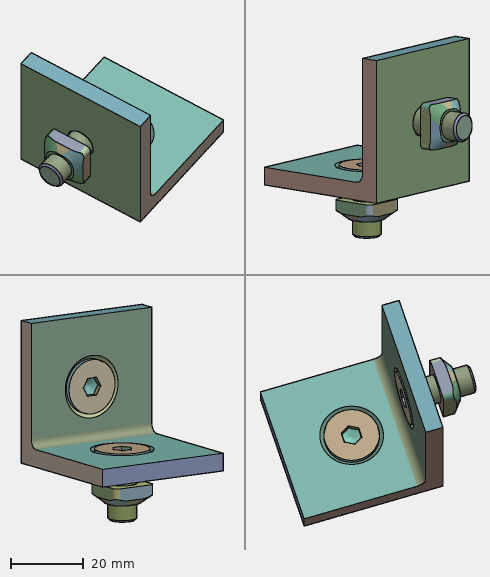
import cadquery as cq
import math

side = 40.0
thickness = 5.0
inner_radius = 2.4

hole_diameter = 8.4
countersink_diameter = 17.5

shank_diameter = 8.0
head_diameter = 15.25
head_rise = 0.2
tip_diameter = 6.8
reach = 54.8 - side
socket_flats = 5.0
socket_depth = 2.75
socket_cone_angle = 30.0

nut_width = 12.8
nut_height = 5.5
nut_gap = 4.5
nut_corner_radius = 1.35
nose_width = 9.1
nose_edge_radius = 5.6
nose_taper = 45.0

floor_frame = cq.Plane(origin=(0, side / 2, thickness), xDir=(1, 0, 0), normal=(0, 0, 1))
wall_frame = cq.Plane(origin=(0, thickness, side / 2), xDir=(1, 0, 0), normal=(0, 1, 0))
frames = [floor_frame, wall_frame]


def revolve_profile(points):
    """Revolve a closed (radius, height) outline about the Z axis."""
    return cq.Workplane("XZ").polyline(points).close().revolve(360, (0, 0, 0), (0, 1, 0))


def make_hole_cutter():
    countersink_radius = countersink_diameter / 2
    hole_radius = hole_diameter / 2
    return revolve_profile([
        (0, 0),
        (countersink_radius, 0),
        (hole_radius, hole_radius - countersink_radius),
        (hole_radius, -thickness),
        (0, -thickness),
    ])


def make_bracket():
    outline = (
        cq.Workplane("YZ")
        .polyline([(0, 0), (side, 0), (side, thickness), (thickness, thickness), (thickness, side), (0, side)])
        .close()
    )
    bracket = outline.extrude(side / 2, both=True)
    inner_corner = cq.selectors.NearestToPointSelector((0, thickness, thickness))
    bracket = bracket.edges(inner_corner).fillet(inner_radius)
    for frame in frames:
        bracket = bracket.cut(make_hole_cutter().val().moved(frame.location))
    return bracket.solids()


def make_socket_cutter():
    corner_diameter = socket_flats / math.cos(math.pi / 6)
    hexagon_depth = socket_depth + head_rise
    hexagon = cq.Workplane("XY").workplane(offset=head_rise).polygon(6, corner_diameter).extrude(-hexagon_depth)
    corner_radius = corner_diameter / 2
    cone_height = corner_radius * math.tan(math.radians(socket_cone_angle))
    drill = revolve_profile([
        (0, head_rise),
        (corner_radius, head_rise),
        (corner_radius, cone_height - socket_depth),
        (0, -socket_depth),
    ])
    return hexagon.intersect(drill)


def make_bolt():
    shank_radius = shank_diameter / 2
    head_radius = head_diameter / 2
    tip_radius = tip_diameter / 2
    rim_bottom = head_radius - countersink_diameter / 2
    cone_bottom = rim_bottom - (head_radius - shank_radius)
    tip = -(thickness + reach)
    bolt = revolve_profile([
        (0, head_rise),
        (head_radius, head_rise),
        (head_radius, rim_bottom),
        (shank_radius, cone_bottom),
        (shank_radius, tip + shank_radius - tip_radius),
        (tip_radius, tip),
        (0, tip),
    ])
    return bolt.cut(make_socket_cutter()).solids()


def make_nut():
    nose_end = -(thickness + nut_gap + nut_height)
    block = (
        cq.Workplane("XY").workplane(offset=nose_end)
        .rect(nut_width, nut_width).extrude(nut_height)
        .edges("|Z").fillet(nut_corner_radius)
    )
    wide_end = nose_width + 2 * nut_height * math.tan(math.radians(nose_taper))
    nose = (
        cq.Workplane("XY").workplane(offset=nose_end)
        .rect(nose_width, nose_width)
        .workplane(offset=nut_height)
        .rect(wide_end, wide_end)
        .loft(ruled=True)
        .edges("not(|X or |Y)").fillet(nose_edge_radius)
    )
    bore = cq.Workplane("XY").workplane(offset=nose_end).circle(shank_diameter / 2).extrude(nut_height)
    return block.intersect(nose).cut(bore).solids()


bracket = make_bracket()
bolts = [make_bolt().val().moved(frame.location) for frame in frames]
nuts = [make_nut().val().moved(frame.location) for frame in frames]

result = cq.Compound.makeCompound([bracket.val(), *bolts, *nuts])